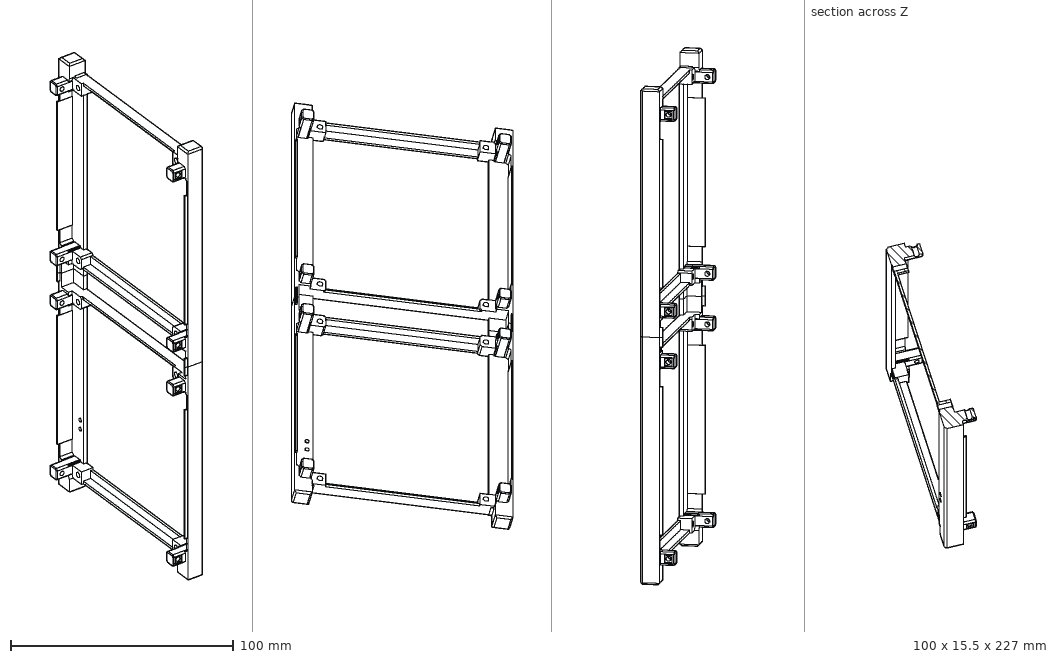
import cadquery as cq

STACK_WIDTH = 100.0
FRAME_HEIGHT = 113.5
OVERALL_DEPTH = 15.5
HALF_WIDTH = STACK_WIDTH / 2

POST_DEPTH = 8.9
FLANGE_WIDTH = 9.8
FLANGE_THICKNESS = 2.0
WEB_THICKNESS = 1.0
BACK_EDGE_CHAMFER = 1.1

BAR_INNER_OFFSET = 7.3
BAR_OUTER_OFFSET = 106.0
BAR_MID_HEIGHT = (BAR_INNER_OFFSET + BAR_OUTER_OFFSET) / 2
BAR_BACK = 0.35
BAR_DEPTH = 5.5
BAR_HEIGHT = 5.5
BAR_LEG_THICKNESS = 1.4
BAR_WALL_THICKNESS = 1.4

CORNER_WIDTH = 7.5
CORNER_HEIGHT = 7.3
CORNER_WEB_THICKNESS = 2.0
CORNER_BEVEL = CORNER_WEB_THICKNESS - WEB_THICKNESS

END_WIDTH = 8.2
END_CHAMFER = 1.0
END_TAPER = END_WIDTH - CORNER_WIDTH
END_TAPER_HEIGHT = 1.8
END_RAMP_LENGTH = 1.4
END_RAMP_RISE = 0.5

TAB_END = 14.8
TAB_FRONT = 6.8
TAB_HEIGHT = 6.5
TAB_CORNER_CHAMFER = 1.0
TAB_HOLE_DIAMETER = 2.5
TAB_HOLE_INSET = 12.0
TAB_HOLE_HEIGHT = 3.6

PEG_INSET = 2.0
PEG_WIDTH = 5.7
PEG_HEIGHT = 6.1
PEG_MID_HEIGHT = 4.3
PEG_SIDE_CHAMFER = 1.0
PEG_FRONT_CHAMFER = 0.5
PEG_HOLE_DIAMETER = 2.2
PEG_POCKET_SIZE = 3.5
PEG_POCKET_DEPTH = 0.7
PEG_HOLE_DEPTH = 12.5

RIDGE_INSET = 0.35
RIDGE_THICKNESS = 0.7
RIDGE_FRONT = 10.2
LONG_RIDGE_LENGTH = 68.0
SHORT_RIDGE_LENGTH = 4.5

SMALL_HOLE_DIAMETER = 1.8
SMALL_HOLE_INSET = 7.0
SMALL_HOLE_HEIGHT = 82.5
SMALL_HOLE_SPACING = 4.8


def block(inset_range, depth_range, height_range):
    """Box on the left side, given by insets from the outer face, depths from the back and heights."""
    (x0, x1), (y0, y1), (z0, z1) = inset_range, depth_range, height_range
    return cq.Workplane("XY").box(x1 - x0, y1 - y0, z1 - z0, centered=False).translate(
        (x0 - HALF_WIDTH, -y1, z0)
    )


def hole_through_depth(diameter, inset, height):
    """Cutter along Y, on the left side."""
    return (
        cq.Workplane("XZ")
        .center(inset - HALF_WIDTH, height)
        .circle(diameter / 2)
        .extrude(OVERALL_DEPTH)
    )


def mirror_at_mid_height(shape):
    return shape.union(shape.mirror("XY", (0, 0, BAR_MID_HEIGHT)))


def post():
    """L-section post with a thicker web at the joint end and a solid far end."""
    flange = block((0, FLANGE_WIDTH), (0, FLANGE_THICKNESS), (0, BAR_OUTER_OFFSET))
    web = block((0, WEB_THICKNESS), (0, POST_DEPTH), (0, BAR_OUTER_OFFSET))
    joint_web = block((0, CORNER_WEB_THICKNESS), (0, POST_DEPTH), (0, BAR_INNER_OFFSET))
    end = (
        block((0, END_WIDTH), (0, POST_DEPTH), (BAR_OUTER_OFFSET, FRAME_HEIGHT))
        .faces(">Z")
        .chamfer(END_CHAMFER)
    )
    end_taper = (
        cq.Workplane("XZ")
        .moveTo(CORNER_WIDTH - HALF_WIDTH, BAR_OUTER_OFFSET)
        .line(END_TAPER, 0)
        .line(-END_TAPER, -END_TAPER_HEIGHT)
        .close()
        .extrude(POST_DEPTH)
    )
    end_ramp = (
        cq.Workplane("XZ", origin=(0, -BAR_BACK, 0))
        .moveTo(END_WIDTH - HALF_WIDTH, BAR_OUTER_OFFSET)
        .line(END_RAMP_LENGTH, 0)
        .line(-END_RAMP_LENGTH, END_RAMP_RISE)
        .close()
        .extrude(BAR_DEPTH)
    )
    return flange.union(web).union(joint_web).union(end).union(end_taper).union(end_ramp)


def corner():
    """Corner block at the joint end, bevelled down to the thin web on its far side."""
    top = BAR_INNER_OFFSET + CORNER_HEIGHT
    body = block((0, CORNER_WIDTH), (0, POST_DEPTH), (BAR_INNER_OFFSET, top))
    bevel = (
        cq.Workplane("XZ")
        .moveTo(WEB_THICKNESS - HALF_WIDTH, top)
        .line(CORNER_BEVEL, 0)
        .line(-CORNER_BEVEL, CORNER_BEVEL)
        .close()
        .extrude(POST_DEPTH)
    )
    return body.union(bevel)


def tab():
    """Plain screw tab at the joint end, without its hole."""
    return block(
        (CORNER_WIDTH, TAB_END),
        (BAR_BACK, TAB_FRONT),
        (BAR_INNER_OFFSET, BAR_INNER_OFFSET + TAB_HEIGHT),
    )


def peg():
    """Chamfered peg at the joint end, drilled through along X, with a square pocket around the hole."""
    middle = BAR_INNER_OFFSET + PEG_MID_HEIGHT
    body = (
        block(
            (PEG_INSET, PEG_INSET + PEG_WIDTH),
            (FLANGE_THICKNESS, OVERALL_DEPTH),
            (middle - PEG_HEIGHT / 2, middle + PEG_HEIGHT / 2),
        )
        .edges("|Y")
        .chamfer(PEG_SIDE_CHAMFER)
        .faces("<Y")
        .chamfer(PEG_FRONT_CHAMFER)
    )
    hole = (
        cq.Workplane("YZ", origin=(-HALF_WIDTH, 0, 0))
        .center(-PEG_HOLE_DEPTH, middle)
        .circle(PEG_HOLE_DIAMETER / 2)
        .extrude(FLANGE_WIDTH)
    )
    pocket_bottom = middle - PEG_POCKET_SIZE / 2
    pocket_back = PEG_HOLE_DEPTH - PEG_POCKET_SIZE / 2
    pocket = block(
        (PEG_INSET, PEG_INSET + PEG_POCKET_DEPTH),
        (pocket_back, pocket_back + PEG_POCKET_SIZE),
        (pocket_bottom, pocket_bottom + PEG_POCKET_SIZE),
    )
    return body.cut(hole).cut(pocket)


def ridges():
    """Long ridge at mid height and short ridge at the joint end."""
    inset_range = (RIDGE_INSET, RIDGE_INSET + RIDGE_THICKNESS)
    depth_range = (0, RIDGE_FRONT)
    long_bottom = BAR_MID_HEIGHT - LONG_RIDGE_LENGTH / 2
    long_ridge = block(inset_range, depth_range, (long_bottom, long_bottom + LONG_RIDGE_LENGTH))
    return long_ridge.union(block(inset_range, depth_range, (0, SHORT_RIDGE_LENGTH)))


def half_bar():
    """Left half of the cross bar at the joint end."""
    wall = block(
        (CORNER_WIDTH, HALF_WIDTH),
        (BAR_BACK, BAR_BACK + BAR_WALL_THICKNESS),
        (BAR_INNER_OFFSET, BAR_INNER_OFFSET + BAR_HEIGHT),
    )
    leg = block(
        (CORNER_WIDTH, HALF_WIDTH),
        (BAR_BACK, BAR_BACK + BAR_DEPTH),
        (BAR_INNER_OFFSET, BAR_INNER_OFFSET + BAR_LEG_THICKNESS),
    )
    return wall.union(leg)


def frame():
    """One whole frame, standing on Z = 0."""
    far_tab = tab().mirror("XY", (0, 0, BAR_MID_HEIGHT))
    joint_tab = tab().edges(">X and |Y").chamfer(TAB_CORNER_CHAMFER)
    tab_hole = hole_through_depth(
        TAB_HOLE_DIAMETER, TAB_HOLE_INSET, BAR_INNER_OFFSET + TAB_HOLE_HEIGHT
    )
    tab_holes = mirror_at_mid_height(tab_hole)
    ends = mirror_at_mid_height(corner().union(half_bar()).union(peg()))
    body = post().union(ridges()).union(ends).union(far_tab).union(joint_tab).cut(tab_holes)
    back_edge = (
        cq.Workplane("XY")
        .moveTo(-HALF_WIDTH, 0)
        .line(BACK_EDGE_CHAMFER, 0)
        .line(-BACK_EDGE_CHAMFER, -BACK_EDGE_CHAMFER)
        .close()
        .extrude(FRAME_HEIGHT)
    )
    half = body.cut(back_edge)
    return half.union(half.mirror("YZ"))


def small_holes():
    """Cutters for the two small holes, one above the other."""
    lower = hole_through_depth(SMALL_HOLE_DIAMETER, SMALL_HOLE_INSET, -SMALL_HOLE_HEIGHT)
    return lower.union(lower.translate((0, 0, SMALL_HOLE_SPACING)))


upper_frame = frame()
lower_frame = frame().mirror("XY").cut(small_holes())

result = cq.Compound.makeCompound([upper_frame.val(), lower_frame.val()])